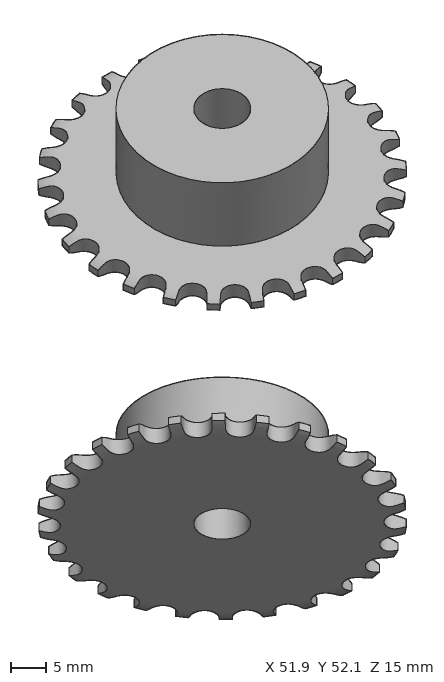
import cadquery as cq
import math

tooth_count = 26
tip_diameter = 52.1
pitch_diameter = 49.75
seat_radius = 2.05
seat_half_angle = 81
plate_thickness = 2.5
flat_diameter = 46.45
side_relief_radius = 6.5
hub_diameter = 30.0
overall_height = 15.0
bore_diameter = 8.0

tip_radius = tip_diameter / 2
pitch_radius = pitch_diameter / 2
flat_radius = flat_diameter / 2
tooth_angle = 360 / tooth_count


def make_blank():
    """Revolve the toothless plate, with both faces curving inward to the rim."""

    def relief_depth(distance):
        return side_relief_radius - math.sqrt(side_relief_radius**2 - distance**2)

    rim_width = tip_radius - flat_radius
    middle_radius = flat_radius + rim_width / 2
    middle_depth = relief_depth(rim_width / 2)
    rim_depth = relief_depth(rim_width)
    return (
        cq.Workplane("XZ")
        .lineTo(flat_radius, 0)
        .threePointArc((middle_radius, middle_depth), (tip_radius, rim_depth))
        .lineTo(tip_radius, plate_thickness - rim_depth)
        .threePointArc(
            (middle_radius, plate_thickness - middle_depth),
            (flat_radius, plate_thickness),
        )
        .lineTo(0, plate_thickness)
        .close()
        .revolve(360, (0, 0, 0), (0, 1, 0))
    )


def make_gap():
    """Cutter for one tooth gap on the +X axis: a round seat with straight tangent flanks."""
    angle = math.radians(seat_half_angle)
    seat_end_x = pitch_radius - seat_radius * math.cos(angle)
    seat_end_y = seat_radius * math.sin(angle)
    outer_x = tip_radius + seat_radius
    outer_y = seat_end_y + (outer_x - seat_end_x) / math.tan(angle)
    return (
        cq.Workplane("XY")
        .moveTo(seat_end_x, -seat_end_y)
        .threePointArc((pitch_radius - seat_radius, 0), (seat_end_x, seat_end_y))
        .lineTo(outer_x, outer_y)
        .lineTo(outer_x, -outer_y)
        .close()
        .extrude(plate_thickness)
    )


sprocket = make_blank()
gap = make_gap()
for index in range(tooth_count):
    sprocket = sprocket.cut(gap.rotate((0, 0, 0), (0, 0, 1), index * tooth_angle))

hub = cq.Workplane("XY").circle(hub_diameter / 2).extrude(overall_height)
bore = cq.Workplane("XY").circle(bore_diameter / 2).extrude(overall_height)
result = sprocket.union(hub).cut(bore)